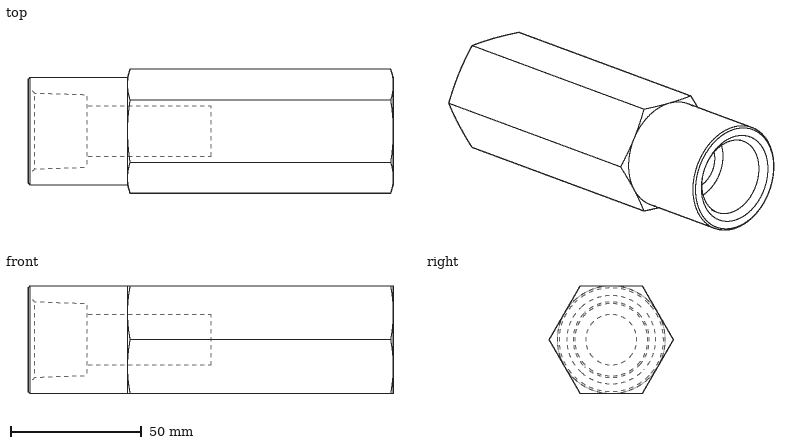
import cadquery as cq
import math

total_length = 139.7
across_corners = 47.6
across_flats = across_corners * math.cos(math.radians(30))
neck_length = 38.0
neck_diameter = across_flats
neck_chamfer = 0.7

corner_chamfer_diameter = across_flats
corner_chamfer_length = 1.0

mouth_diameter = 34.0
bore_diameter = 29.0
bore_end_diameter = 27.8
pilot_diameter = 19.4
pilot_depth = total_length / 2

taper_ratio = 1 / 16
mouth_depth = (mouth_diameter - bore_diameter) / 2
bore_depth = mouth_depth + (bore_diameter - bore_end_diameter) / taper_ratio


def revolve_about_x(points):
    """Solid of revolution about X from (x, radius) points."""
    return cq.Workplane("XY").polyline(points).close().revolve(360, (0, 0, 0), (1, 0, 0))


def hexagonal_body():
    """Hexagonal bar with flats on top and bottom and trimmed corners."""
    bar = (
        cq.Workplane("YZ", origin=(neck_length, 0, 0))
        .polygon(6, across_corners)
        .extrude(total_length - neck_length)
    )
    end_radius = corner_chamfer_diameter / 2
    corner_radius = across_corners / 2
    envelope = revolve_about_x([
        (neck_length, 0),
        (neck_length, end_radius),
        (neck_length + corner_chamfer_length, corner_radius),
        (total_length - corner_chamfer_length, corner_radius),
        (total_length, end_radius),
        (total_length, 0),
    ])
    return bar.intersect(envelope)


def neck():
    """Round neck with a chamfered rim, reaching into the hexagonal body."""
    radius = neck_diameter / 2
    overlap_end = neck_length + corner_chamfer_length
    return revolve_about_x([
        (0, 0),
        (0, radius - neck_chamfer),
        (neck_chamfer, radius),
        (overlap_end, radius),
        (overlap_end, 0),
    ])


def stepped_bore():
    """Countersunk mouth, tapered bore and a narrower flat-bottomed pilot hole."""
    return revolve_about_x([
        (0, 0),
        (0, mouth_diameter / 2),
        (mouth_depth, bore_diameter / 2),
        (bore_depth, bore_end_diameter / 2),
        (bore_depth, pilot_diameter / 2),
        (pilot_depth, pilot_diameter / 2),
        (pilot_depth, 0),
    ])


result = hexagonal_body().union(neck()).cut(stepped_bore())